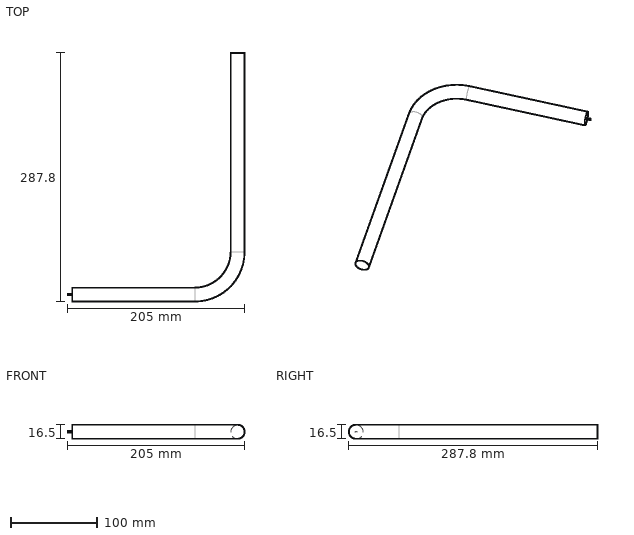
import cadquery as cq

overall_x = 205.0
overall_y = 287.8

rod_diameter = 16.5
bend_radius = 49.5

pin_diameter = 2.0
pin_length = 5.2

rod_radius = rod_diameter / 2

x_leg_length = overall_x - pin_length - bend_radius - rod_radius
y_leg_length = overall_y - bend_radius - rod_radius


def bent_rod():
    """Rod swept along X, around the bend and away along +Y, starting at the origin."""
    corner_x = x_leg_length + bend_radius
    centre_line = (
        cq.Workplane("XY")
        .lineTo(x_leg_length, 0)
        .radiusArc((corner_x, bend_radius), -bend_radius)
        .lineTo(corner_x, bend_radius + y_leg_length)
    )
    return cq.Workplane("YZ").circle(rod_radius).sweep(centre_line)


def end_pin():
    """Pin on the rod's axis, pointing along -X from the end face."""
    return cq.Workplane("YZ").circle(pin_diameter / 2).extrude(-pin_length)


result = bent_rod().union(end_pin())